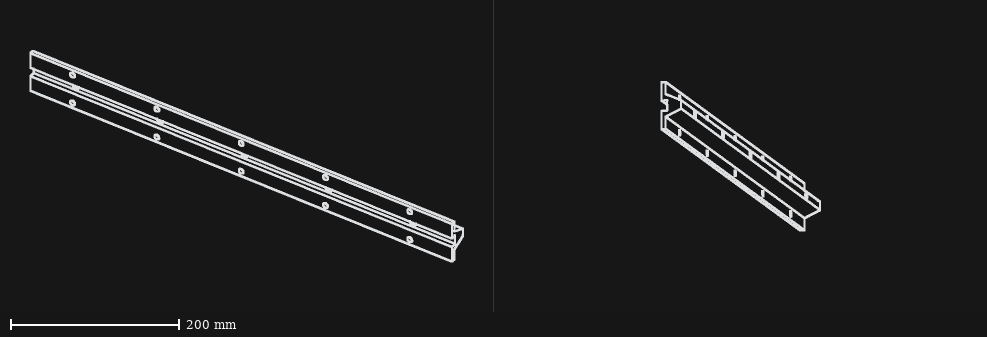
import cadquery as cq

length = 599.5
depth = 24.5
height = 57.0

flange_thickness = 5.5
rib_base_height = 27.5
rib_nose_height = 10.0
channel_height = 12.5
channel_depth = 7.0

hole_columns = 5
column_pitch = length / hole_columns
flange_hole_diameter = 6.5
flange_hole_spacing = 42.0
rib_hole_diameter = 9.0

front_y = -depth / 2
back_y = depth / 2
flange_back_y = front_y + flange_thickness
channel_floor_y = front_y + channel_depth


def rail_body():
    """Flanged rail with a tapered rib behind and a channel in the mounting face."""
    upper_half = [
        (channel_floor_y, channel_height / 2),
        (front_y, channel_height / 2),
        (front_y, height / 2),
        (flange_back_y, height / 2),
        (flange_back_y, rib_base_height / 2),
        (back_y, rib_nose_height / 2),
    ]
    lower_half = [(y, -z) for y, z in reversed(upper_half)]
    profile = cq.Workplane("YZ").polyline(upper_half + lower_half).close()
    return profile.extrude(length / 2, both=True)


def hole_row(z, diameter):
    """Evenly spaced cylinders along Y, long enough to pass through the rail."""
    return (
        cq.Workplane("XZ")
        .center(0, z)
        .rarray(column_pitch, 6, hole_columns, 1)
        .circle(diameter / 2)
        .extrude(depth, both=True)
    )


result = rail_body().cut(hole_row(0, rib_hole_diameter))
for side in (-1, 1):
    result = result.cut(hole_row(side * flange_hole_spacing / 2, flange_hole_diameter))